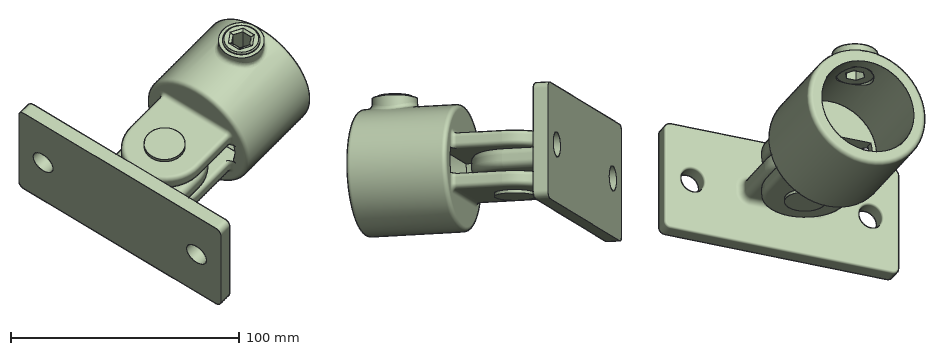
import cadquery as cq

PLATE_WIDTH = 112
PLATE_HEIGHT = 52.0
PLATE_THICKNESS = 7.0
PLATE_CORNER_RADIUS = 3.0
PLATE_BACK_FILLET = 1.0
MOUNT_HOLE_DIAMETER = 11.0
MOUNT_HOLE_SPACING = 85.0
TONGUE_THICKNESS = 9.0
TONGUE_FILLET = 3.0

HINGE_Y = 32.0
HINGE_WIDTH = 38.0
HINGE_RADIUS = HINGE_WIDTH / 2
FORK_GAP = 11.1
ARM_THICKNESS = 7.0
ARM_CENTER_Z = (FORK_GAP + ARM_THICKNESS) / 2
ARM_OUTER_Z = FORK_GAP / 2 + ARM_THICKNESS
PIN_DIAMETER = 10.0
PIN_HEAD_DIAMETER = 18.0
PIN_HEAD_THICKNESS = 1.5

SOCKET_DIAMETER = 56
SOCKET_RADIUS = SOCKET_DIAMETER / 2
BORE_DIAMETER = 44.0
BORE_RADIUS = BORE_DIAMETER / 2
SOCKET_BACK_Y = 101.0
SOCKET_LENGTH = 45.9
SOCKET_FRONT_Y = SOCKET_BACK_Y - SOCKET_LENGTH
SOCKET_FLOOR = 5.0
BORE_END_Y = SOCKET_FRONT_Y + SOCKET_FLOOR
HOUSING_FILLET = 2.0
WINDOW_RADIUS = BORE_RADIUS - HOUSING_FILLET

SCREW_TO_BACK = 14.1
SCREW_Y = SOCKET_BACK_Y - SCREW_TO_BACK
BOSS_DIAMETER = 20.0
BOSS_HEIGHT = 4.5
BOSS_TOP_Z = SOCKET_RADIUS + BOSS_HEIGHT
SCREW_DIAMETER = 16.5
SCREW_RIM_DIAMETER = 15.2
SCREW_CHAMFER = (SCREW_DIAMETER - SCREW_RIM_DIAMETER) / 2
SCREW_PROTRUSION = 1.0
SCREW_TOP_Z = BOSS_TOP_Z + SCREW_PROTRUSION
SCREW_BOTTOM_Z = BORE_RADIUS
HEX_SIDES = 6
HEX_CORNERS = 9.2
HEX_MOUTH_CORNERS = 12.3
HEX_MOUTH_DEPTH = 0.7

PICK_MARGIN = 0.1


def cylinder_y(diameter, y_start, y_end):
    """Solid cylinder on the socket axis between two Y positions."""
    profile = cq.Workplane("XZ", origin=(0, y_start, 0)).circle(diameter / 2)
    return profile.extrude(y_start - y_end)


def cylinder_z(diameter, y, z_start, z_end):
    """Solid vertical cylinder standing at (0, y)."""
    profile = cq.Workplane("XY", origin=(0, y, z_start)).circle(diameter / 2)
    return profile.extrude(z_end - z_start)


def box_picker(low_corner, high_corner):
    """Selector for what lies wholly inside a box, with a small margin all round."""
    low = tuple(value - PICK_MARGIN for value in low_corner)
    high = tuple(value + PICK_MARGIN for value in high_corner)
    return cq.selectors.BoxSelector(low, high, boundingbox=True)


def hinge_lug(root_y, center_z, thickness, edge_fillet):
    """Flat lug from a root plane to a round end about the hinge axis, with rounded edges."""
    reaches_back = root_y < HINGE_Y
    end_y = HINGE_Y + HINGE_RADIUS if reaches_back else HINGE_Y - HINGE_RADIUS
    root_side = "<Y" if reaches_back else ">Y"
    lug = (
        cq.Workplane("XY", origin=(0, 0, center_z - thickness / 2))
        .moveTo(-HINGE_RADIUS, root_y)
        .lineTo(-HINGE_RADIUS, HINGE_Y)
        .threePointArc((0, end_y), (HINGE_RADIUS, HINGE_Y))
        .lineTo(HINGE_RADIUS, root_y)
        .close()
        .extrude(thickness)
    )
    return lug.faces("|Z").edges(f"not {root_side}").fillet(edge_fillet)


def blend_lug_roots(body, root_y, outer_z, radius):
    """Fillet where the lugs meet the flat face at root_y."""
    picker = box_picker((-HINGE_RADIUS, root_y, -outer_z), (HINGE_RADIUS, root_y, outer_z))
    return body.edges(picker).fillet(radius)


def make_base():
    mount_holes = (
        cq.Workplane("XZ")
        .pushPoints([(-MOUNT_HOLE_SPACING / 2, 0), (MOUNT_HOLE_SPACING / 2, 0)])
        .circle(MOUNT_HOLE_DIAMETER / 2)
        .extrude(-PLATE_THICKNESS)
    )
    plate = (
        cq.Workplane("XZ")
        .rect(PLATE_WIDTH, PLATE_HEIGHT)
        .extrude(-PLATE_THICKNESS)
        .edges("|Y")
        .fillet(PLATE_CORNER_RADIUS)
        .cut(mount_holes)
        .faces(">Y")
        .edges()
        .fillet(PLATE_BACK_FILLET)
    )
    half_tongue = TONGUE_THICKNESS / 2
    base = plate.union(hinge_lug(PLATE_THICKNESS, 0, TONGUE_THICKNESS, TONGUE_FILLET))
    base = blend_lug_roots(base, PLATE_THICKNESS, half_tongue, TONGUE_FILLET)
    return base.cut(cylinder_z(PIN_DIAMETER, HINGE_Y, -half_tongue, half_tongue))


def make_socket():
    """Solid round socket body with rounded rims and the blended screw boss."""
    socket = cylinder_y(SOCKET_DIAMETER, SOCKET_FRONT_Y, SOCKET_BACK_Y)
    socket = socket.edges("%CIRCLE").fillet(HOUSING_FILLET)
    socket = socket.union(cylinder_z(BOSS_DIAMETER, SCREW_Y, 0, BOSS_TOP_Z))
    boss_radius = BOSS_DIAMETER / 2
    boss_root = box_picker(
        (-boss_radius, SCREW_Y - boss_radius, BORE_RADIUS),
        (boss_radius, SCREW_Y + boss_radius, SOCKET_RADIUS),
    )
    return socket.edges(boss_root).fillet(HOUSING_FILLET)


def make_window():
    """Cutter that opens the bore to the front between the arms, flaring to a rounded rim."""
    flare_radius = WINDOW_RADIUS + HOUSING_FILLET
    flare_front_y = SOCKET_FRONT_Y - HOUSING_FILLET
    round_cutter = (
        cq.Workplane("XY")
        .moveTo(0, flare_front_y)
        .lineTo(flare_radius, flare_front_y)
        .lineTo(flare_radius, SOCKET_FRONT_Y)
        .radiusArc((WINDOW_RADIUS, SOCKET_FRONT_Y + HOUSING_FILLET), HOUSING_FILLET)
        .lineTo(WINDOW_RADIUS, BORE_END_Y)
        .lineTo(0, BORE_END_Y)
        .close()
        .revolve(360, (0, 0, 0), (0, 1, 0))
    )
    gap_slab = cq.Workplane("XY").box(SOCKET_DIAMETER, 2 * SOCKET_BACK_Y, FORK_GAP)
    return round_cutter.intersect(gap_slab)


def make_housing():
    housing = make_socket()
    for side in (-1, 1):
        arm = hinge_lug(SOCKET_FRONT_Y, side * ARM_CENTER_Z, ARM_THICKNESS, HOUSING_FILLET)
        housing = housing.union(arm)
    housing = blend_lug_roots(housing, SOCKET_FRONT_Y, ARM_OUTER_Z, HOUSING_FILLET)

    bore = cylinder_y(BORE_DIAMETER, BORE_END_Y, SOCKET_BACK_Y)
    screw_hole = cylinder_z(SCREW_DIAMETER, SCREW_Y, 0, BOSS_TOP_Z)
    pin_hole = cylinder_z(PIN_DIAMETER, HINGE_Y, -ARM_OUTER_Z, ARM_OUTER_Z)
    return housing.cut(bore).cut(make_window()).cut(screw_hole).cut(pin_hole)


def make_pin():
    head_outer_z = ARM_OUTER_Z + PIN_HEAD_THICKNESS
    pin = cylinder_z(PIN_DIAMETER, HINGE_Y, -ARM_OUTER_Z, ARM_OUTER_Z)
    for side in (-1, 1):
        head = cylinder_z(PIN_HEAD_DIAMETER, HINGE_Y, side * ARM_OUTER_Z, side * head_outer_z)
        pin = pin.union(head)
    return pin


def make_screw():
    screw = cylinder_z(SCREW_DIAMETER, SCREW_Y, SCREW_BOTTOM_Z, SCREW_TOP_Z)
    screw = screw.faces(">Z").chamfer(SCREW_CHAMFER)
    hex_socket = (
        cq.Workplane("XY", origin=(0, SCREW_Y, SCREW_BOTTOM_Z))
        .polygon(HEX_SIDES, HEX_CORNERS)
        .extrude(SCREW_TOP_Z - SCREW_BOTTOM_Z)
    )
    hex_mouth = (
        cq.Workplane("XY", origin=(0, SCREW_Y, SCREW_TOP_Z - HEX_MOUTH_DEPTH))
        .polygon(HEX_SIDES, HEX_CORNERS)
        .workplane(offset=HEX_MOUTH_DEPTH)
        .polygon(HEX_SIDES, HEX_MOUTH_CORNERS)
        .loft(ruled=True)
    )
    return screw.cut(hex_socket).cut(hex_mouth)


base = make_base().solids()
housing = make_housing().solids()
pin = make_pin().solids()
screw = make_screw().solids()

result = cq.Compound.makeCompound([base.val(), housing.val(), pin.val(), screw.val()])